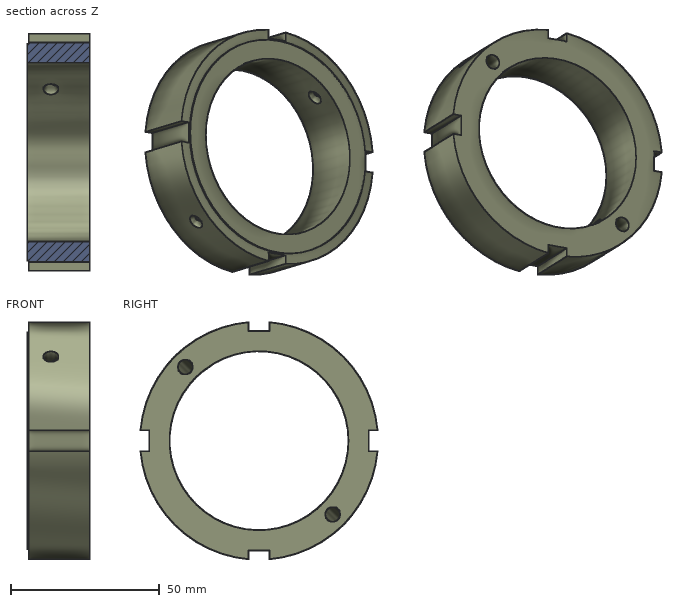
import cadquery as cq
import math

slot_width = 7.0
slot_floor = 36.9
slot_tip_reach = 39.85
outer_radius = math.hypot(slot_tip_reach, slot_width / 2)
bore_diameter = 60.0
face_diameter = 73.0
face_height = 0.5
total_width = 21.0
hole_diameter = 5.0
axial_hole_diameter = 4.95
hole_x = 8.0
hole_angle = 45.0
slot_count = 4


def cylinder_along_x(diameter, start, end):
    return cq.Workplane("YZ").workplane(offset=start).circle(diameter / 2).extrude(end - start)


ring = cylinder_along_x(2 * outer_radius, face_height, total_width)
ring = ring.union(cylinder_along_x(face_diameter, 0, total_width))
ring = ring.cut(cylinder_along_x(bore_diameter, 0, total_width))

slot_height = 2 * (outer_radius - slot_floor)
slot = cq.Workplane("XY").box(total_width, slot_width, slot_height, centered=(False, True, False))
slot = slot.translate((0, 0, slot_floor))
for index in range(slot_count):
    ring = ring.cut(slot.rotate((0, 0, 0), (1, 0, 0), index * 360 / slot_count))

drill = cq.Workplane("XY").center(hole_x, 0).circle(hole_diameter / 2).extrude(outer_radius, both=True)
ring = ring.cut(drill.rotate((0, 0, 0), (1, 0, 0), hole_angle))

wall_middle_radius = (outer_radius + bore_diameter / 2) / 2
axial_hole = cylinder_along_x(axial_hole_diameter, hole_x, total_width).translate((0, 0, wall_middle_radius))
for angle in (hole_angle, hole_angle + 180):
    ring = ring.cut(axial_hole.rotate((0, 0, 0), (1, 0, 0), angle))

result = ring